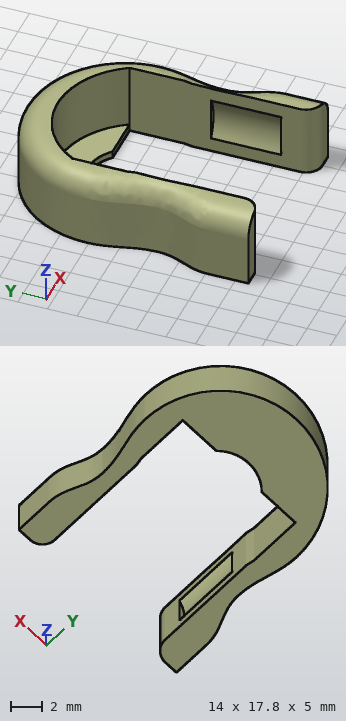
import cadquery as cq

height = 5.0
total_length = 17.75
bow_radius = 6.75
tip_y = bow_radius - total_length

waist_half_width = 6.02
waist_y = -4.5
tip_half_width = 7.002
tip_start_y = -8.32
top_fillet = 1.5

leg_inner_half_width = 4.9
bow_inner_half_width = 5.0
taper_start_y = -2.05
taper_end_y = -2.63
inner_arc_crown_y = 4.56
tip_corner_radius = 1.1

shelf_thickness = 0.5
shelf_front_y = 1.63
notch_half_width = 2.0
notch_crown_y = 2.47

recess_start_y = -8.63
recess_length = 4.72
recess_height = 3.0
recess_depth = 0.43


def make_outer_block():
    """Solid clip silhouette with its top outer edge rounded."""
    straight = (0, 1)
    back = (0, -1)
    block = (
        cq.Workplane("XY")
        .moveTo(-tip_half_width, tip_y)
        .lineTo(-tip_half_width, tip_start_y)
        .spline([(-waist_half_width, waist_y)], tangents=[straight, straight], includeCurrent=True)
        .spline([(-bow_radius, 0)], tangents=[straight, straight], includeCurrent=True)
        .threePointArc((0, bow_radius), (bow_radius, 0))
        .spline([(waist_half_width, waist_y)], tangents=[back, back], includeCurrent=True)
        .spline([(tip_half_width, tip_start_y)], tangents=[back, back], includeCurrent=True)
        .lineTo(tip_half_width, tip_y)
        .close()
        .extrude(height)
    )
    return block.faces(">Z").edges("not <Y").fillet(top_fillet)


def make_opening():
    """Space between the legs, closed by the inner bow arc."""
    return (
        cq.Workplane("XY")
        .moveTo(-leg_inner_half_width, tip_y)
        .lineTo(-leg_inner_half_width, taper_end_y)
        .lineTo(-bow_inner_half_width, taper_start_y)
        .lineTo(-bow_inner_half_width, shelf_front_y)
        .threePointArc((0, inner_arc_crown_y), (bow_inner_half_width, shelf_front_y))
        .lineTo(bow_inner_half_width, taper_start_y)
        .lineTo(leg_inner_half_width, taper_end_y)
        .lineTo(leg_inner_half_width, tip_y)
        .close()
        .extrude(height)
    )


def make_shelf():
    """Thin plate filling the bow at the bottom, with an arched notch."""
    return (
        cq.Workplane("XY")
        .moveTo(-bow_inner_half_width, shelf_front_y)
        .threePointArc((0, inner_arc_crown_y), (bow_inner_half_width, shelf_front_y))
        .lineTo(notch_half_width, shelf_front_y)
        .threePointArc((0, notch_crown_y), (-notch_half_width, shelf_front_y))
        .close()
        .extrude(shelf_thickness)
    )


def make_tip_corner(side):
    """Material removed to round the inner corner of one leg tip."""
    inner_x = side * leg_inner_half_width
    outer_x = side * (leg_inner_half_width + tip_corner_radius)
    return (
        cq.Workplane("XY")
        .moveTo(inner_x, tip_y)
        .lineTo(outer_x, tip_y)
        .radiusArc((inner_x, tip_y + tip_corner_radius), side * tip_corner_radius)
        .close()
        .extrude(height)
    )


def make_recess(side):
    """Arc-section recess running along one leg, centred in its height."""
    inner_x = side * leg_inner_half_width
    middle_z = height / 2
    low_z = middle_z - recess_height / 2
    high_z = middle_z + recess_height / 2
    return (
        cq.Workplane("XZ", origin=(0, recess_start_y, 0))
        .moveTo(inner_x, low_z)
        .threePointArc((inner_x + side * recess_depth, middle_z), (inner_x, high_z))
        .close()
        .extrude(-recess_length)
    )


result = make_outer_block().cut(make_opening()).union(make_shelf())
for leg_side in (-1, 1):
    result = result.cut(make_tip_corner(leg_side)).cut(make_recess(leg_side))